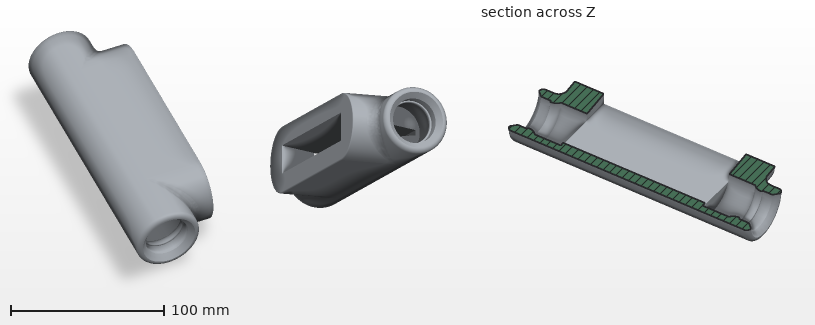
import cadquery as cq
import math

length = 183.4
body_radius = 22.2
box_length = 152.2
cover_y = 38.3
neck_fillet = 6.5
rim_fillet = 3.1
cover_edge_fillet = 0.7

mouth_radius = 18.5
socket_radius = 14.9
countersink_depth = 3.9
socket_depth = 11.2
throat_radius = 13.8
throat_edge_fillet = 0.7
flare_radius = 7.9
chamber_radius = 16.7

slot_floor_y = -throat_radius
slot_floor_width = 3.5
slot_half_angle = 8.3
slot_length = box_length - 2 * body_radius
chamber_depth = (length - slot_length) / 2


def make_body():
    tube = cq.Workplane("YZ").circle(body_radius).extrude(length / 2, both=True)
    box = cq.Workplane("XZ").slot2D(box_length, 2 * body_radius).extrude(-cover_y)
    body = tube.union(box).edges("%ELLIPSE").fillet(neck_fillet)
    body = body.faces(">Y").edges().fillet(cover_edge_fillet)
    return body.faces("<X or >X").edges().fillet(rim_fillet)


def flare_point(angle):
    """Depth and radius on the convex flare, at an angle measured from the narrowest throat."""
    depth = socket_depth + throat_edge_fillet + flare_radius * math.sin(angle)
    radius = throat_radius + flare_radius * (1 - math.cos(angle))
    return depth, radius


def make_bore():
    """Bore entering the -X end, narrowed to a throat that flares out into a chamber."""
    flare_angle = math.acos(1 - (chamber_radius - throat_radius) / flare_radius)
    throat_start = (socket_depth + throat_edge_fillet, throat_radius)
    profile = (
        cq.Workplane("XY")
        .lineTo(0, mouth_radius)
        .lineTo(countersink_depth, socket_radius)
        .lineTo(socket_depth, socket_radius)
        .lineTo(socket_depth, throat_radius + throat_edge_fillet)
        .radiusArc(throat_start, -throat_edge_fillet)
        .threePointArc(flare_point(flare_angle / 2), flare_point(flare_angle))
        .lineTo(chamber_depth, chamber_radius)
        .lineTo(chamber_depth, 0)
        .close()
    )
    return profile.revolve(360, (0, 0, 0), (1, 0, 0)).translate((-length / 2, 0, 0))


def make_slot():
    slot_height = cover_y - slot_floor_y
    floor_half = slot_floor_width / 2
    mouth_half = floor_half + slot_height * math.tan(math.radians(slot_half_angle))
    section = cq.Workplane("YZ").polyline([
        (slot_floor_y, -floor_half),
        (cover_y, -mouth_half),
        (cover_y, mouth_half),
        (slot_floor_y, floor_half),
    ]).close()
    return section.extrude(slot_length / 2, both=True)


bore = make_bore()
result = make_body().cut(bore).cut(bore.mirror("YZ")).cut(make_slot())